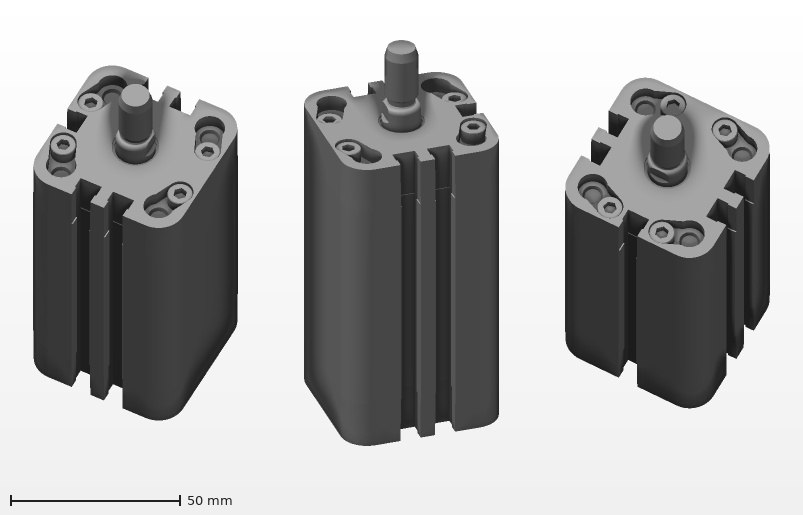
import cadquery as cq
import math

total_height = 119.5
body_width = 49.0
cap_height = 14.3
barrel_height = 65.6
corner_radius = 8.2
cap_draft = 0.5

half_width = body_width / 2
barrel_bottom = cap_height
barrel_top = barrel_bottom + barrel_height
body_top = barrel_top + cap_height

slot_depth_barrel = 6.5
slot_depth_cap = 6.7
slot_lip_depth = 3.0
slot_undercut_width = 7.0
slot_mouth_width_barrel = 5.5
slot_mouth_width_cap = 6.2
slot_mouth_chamfer = 0.4
slot_pair_offset = 5.4

pocket_depth = 4.8
dimple_pocket_diameter = 9.0
dimple_offset = 16.3
dimple_mouth_diameter = 6.1
dimple_floor_diameter = 4.9
dimple_depth = 1.0
screw_pocket_diameter = 7.9
screw_x = 19.5
screw_y = 8.7
screw_head_diameter = 7.5
screw_head_chamfer = 0.2
screw_head_height = 4.1
socket_width = 3.6
socket_depth = 2.4
socket_turn = 15.0

rod_diameter = 12.0
rod_shoulder_height = 6.6
rod_shoulder_top_diameter = 9.0
flat_width = 10.0
flat_base_height = 2.2
neck_diameter = 7.9
neck_foot_diameter = 8.6
neck_foot_height = 0.4
thread_diameter = 10.0
thread_tip_diameter = 8.4
thread_tip_length = 2.7
thread_start = 9.3
thread_run_out = 0.7
bore_mouth_diameter = 14.0
bore_relief_diameter = 12.5
bore_relief_depth = 1.2
bore_recess_diameter = 13.7
bore_recess_depth = 0.4
bore_chamfer_depth = 0.1


def rounded_prism(height, draft=0.0):
    """Square column with round corners, standing on Z = 0."""
    outline = cq.Sketch().rect(body_width, body_width).vertices().fillet(corner_radius)
    return cq.Workplane("XY").placeSketch(outline).extrude(height, taper=draft)


def slot_cutter(height, depth, mouth_width, chamfer=0.0):
    """T-slot opening through the -Y side, standing on Z = 0."""
    mouth = mouth_width / 2
    undercut = slot_undercut_width / 2
    lip_y = -half_width + slot_lip_depth
    floor_y = -half_width + depth
    right_side = [(undercut, floor_y), (undercut, lip_y), (mouth, lip_y)]
    if chamfer:
        right_side += [(mouth, -half_width + chamfer), (mouth + chamfer, -half_width)]
    else:
        right_side += [(mouth, -half_width)]
    left_side = [(-x, y) for x, y in reversed(right_side)]
    return cq.Workplane("XY").polyline(right_side + left_side).close().extrude(height)


def cut_slots(column, height, depth, mouth_width, chamfer=0.0):
    """Cut two slots in each Y side and one in the -X side."""
    cutter = slot_cutter(height, depth, mouth_width, chamfer)
    for turn in (0, 180):
        side_cutter = cutter.rotate((0, 0, 0), (0, 0, 1), turn)
        for x in (-slot_pair_offset, slot_pair_offset):
            column = column.cut(side_cutter.translate((x, 0, 0)))
    return column.cut(cutter.rotate((0, 0, 0), (0, 0, 1), -90))


def make_cap():
    """Plain slotted cap with its wide face on Z = 0."""
    cap = rounded_prism(cap_height, cap_draft)
    return cut_slots(cap, cap_height, slot_depth_cap, slot_mouth_width_cap)


def cone_cutter(x, y, z_top, top_diameter, bottom_diameter, depth):
    """Conical recess opening upward at z_top."""
    plane = cq.Workplane("XY", origin=(x, y, z_top))
    return plane.circle(top_diameter / 2).workplane(offset=-depth).circle(bottom_diameter / 2).loft()


def pocket_cutter():
    """Pocket of the +X +Y corner: a slot ending at the screw, with a wider round end over the dimple."""
    along_x = screw_x - dimple_offset
    along_y = screw_y - dimple_offset
    slot_angle = math.degrees(math.atan2(along_y, along_x))
    slot_length = math.hypot(along_x, along_y) + screw_pocket_diameter
    slot_center = ((screw_x + dimple_offset) / 2, (screw_y + dimple_offset) / 2)
    floor_z = body_top - pocket_depth
    slot = (
        cq.Workplane("XY", origin=(*slot_center, floor_z))
        .slot2D(slot_length, screw_pocket_diameter, slot_angle)
        .extrude(pocket_depth)
    )
    round_end = (
        cq.Workplane("XY", origin=(dimple_offset, dimple_offset, floor_z))
        .circle(dimple_pocket_diameter / 2)
        .extrude(pocket_depth)
    )
    return slot.union(round_end)


def dimple_cutter():
    """Flat-bottomed cone in the pocket floor, +X +Y corner."""
    return cone_cutter(
        dimple_offset,
        dimple_offset,
        body_top - pocket_depth,
        dimple_mouth_diameter,
        dimple_floor_diameter,
        dimple_depth,
    )


def screw_head():
    """Socket head standing on the pocket floor, +X +Y corner."""
    socket_corner_diameter = socket_width / math.cos(math.pi / 6)
    return (
        cq.Workplane("XY", origin=(screw_x, screw_y, body_top - pocket_depth))
        .circle(screw_head_diameter / 2)
        .extrude(screw_head_height)
        .faces(">Z")
        .chamfer(screw_head_chamfer)
        .faces(">Z")
        .workplane()
        .transformed(rotate=(0, 0, socket_turn))
        .polygon(6, socket_corner_diameter)
        .cutBlind(-socket_depth)
    )


def at_four_corners(shape):
    """Copies of a +X +Y corner shape, mirrored into all four corners."""
    right_pair = [shape, shape.mirror("XZ")]
    return right_pair + [copy.mirror("YZ") for copy in right_pair]


def make_rear_cap():
    return make_cap().mirror("XY").translate((0, 0, barrel_bottom))


def make_barrel():
    barrel = cut_slots(
        rounded_prism(barrel_height),
        barrel_height,
        slot_depth_barrel,
        slot_mouth_width_barrel,
        slot_mouth_chamfer,
    )
    return barrel.translate((0, 0, barrel_bottom))


def top_bore_cutter(diameter, depth):
    """Round bore on the rod axis, going down from the top of the body."""
    plane = cq.Workplane("XY", origin=(0, 0, body_top - depth))
    return plane.circle(diameter / 2).extrude(depth)


def make_front_cap():
    """Cap with the rod bore, corner pockets and their socket heads."""
    cap = make_cap().translate((0, 0, barrel_top))
    cap = cap.cut(top_bore_cutter(rod_diameter, cap_height))
    cap = cap.cut(top_bore_cutter(bore_relief_diameter, bore_relief_depth))
    cap = cap.cut(top_bore_cutter(bore_recess_diameter, bore_recess_depth))
    cap = cap.cut(
        cone_cutter(0, 0, body_top, bore_mouth_diameter, bore_recess_diameter, bore_chamfer_depth)
    )
    for corner_cutter in at_four_corners(pocket_cutter().union(dimple_cutter())):
        cap = cap.cut(corner_cutter)
    for head in at_four_corners(screw_head()):
        cap = cap.union(head)
    return cap


def rod_profile():
    """Revolved shape of the rod, from the barrel face to the threaded tip."""
    rod_radius = rod_diameter / 2
    neck_radius = neck_diameter / 2
    thread_radius = thread_diameter / 2
    shoulder_z = body_top + rod_shoulder_height
    thread_z = body_top + thread_start
    shoulder_fillet = rod_radius - rod_shoulder_top_diameter / 2
    fillet_middle = shoulder_fillet * (1 - math.sqrt(0.5))
    return (
        cq.Workplane("XZ")
        .moveTo(0, barrel_top)
        .lineTo(rod_radius, barrel_top)
        .lineTo(rod_radius, shoulder_z - shoulder_fillet)
        .threePointArc(
            (rod_radius - fillet_middle, shoulder_z - fillet_middle),
            (rod_radius - shoulder_fillet, shoulder_z),
        )
        .lineTo(neck_foot_diameter / 2, shoulder_z)
        .lineTo(neck_radius, shoulder_z + neck_foot_height)
        .lineTo(neck_radius, thread_z - thread_run_out)
        .lineTo(thread_radius, thread_z)
        .lineTo(thread_radius, total_height - thread_tip_length)
        .lineTo(thread_tip_diameter / 2, total_height)
        .lineTo(0, total_height)
        .close()
        .revolve(360, (0, 0, 0), (0, 1, 0))
    )


def flat_cutter():
    """Removes the +X spanner flat, with a 45 degree run-out at its foot."""
    flat_x = flat_width / 2
    flat_z = body_top + flat_base_height
    run_out = rod_diameter / 2 - flat_x
    shoulder_z = body_top + rod_shoulder_height
    return (
        cq.Workplane("XZ")
        .moveTo(flat_x, flat_z)
        .lineTo(flat_x + run_out, flat_z - run_out)
        .lineTo(flat_x + run_out, shoulder_z)
        .lineTo(flat_x, shoulder_z)
        .close()
        .extrude(rod_diameter / 2, both=True)
    )


def make_rod():
    flat = flat_cutter()
    return rod_profile().cut(flat).cut(flat.mirror("YZ"))


rear_cap = make_rear_cap().solids()
barrel = make_barrel().solids()
front_cap = make_front_cap().solids()
rod = make_rod().solids()

result = cq.Compound.makeCompound([rear_cap.val(), barrel.val(), front_cap.val(), rod.val()])